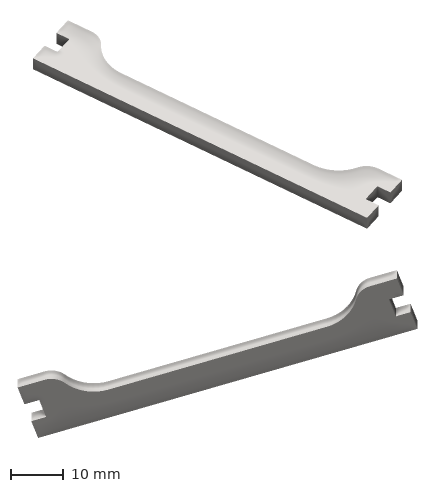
import cadquery as cq
import math

length = 76.0
end_width = 12.0
thickness = 3.0

waist_width = 6.0
end_flat = 5.4
crest_radius = 4.0
hollow_radius = 8.5

slot_width = 4.0
slot_depth = 3.0

shoulder_drop = end_width - waist_width
sweep = math.acos(1 - shoulder_drop / (crest_radius + hollow_radius))
half_length = length / 2
crest_x = half_length - end_flat
hollow_x = crest_x - (crest_radius + hollow_radius) * math.sin(sweep)
crest_center_y = end_width - crest_radius
hollow_center_y = waist_width + hollow_radius


def crest_point(angle):
    """Point on the right convex arc, turned from its top toward the middle."""
    return (
        crest_x - crest_radius * math.sin(angle),
        crest_center_y + crest_radius * math.cos(angle),
    )


def hollow_point(angle):
    """Point on the right concave arc, turned from its bottom toward the end."""
    return (
        hollow_x + hollow_radius * math.sin(angle),
        hollow_center_y - hollow_radius * math.cos(angle),
    )


def mirrored(point):
    return (-point[0], point[1])


def make_bar():
    joint = crest_point(sweep)
    crest_middle = crest_point(sweep / 2)
    hollow_middle = hollow_point(sweep / 2)
    return (
        cq.Workplane("XY")
        .moveTo(-half_length, 0)
        .lineTo(half_length, 0)
        .lineTo(half_length, end_width)
        .lineTo(crest_x, end_width)
        .threePointArc(crest_middle, joint)
        .threePointArc(hollow_middle, (hollow_x, waist_width))
        .lineTo(-hollow_x, waist_width)
        .threePointArc(mirrored(hollow_middle), mirrored(joint))
        .threePointArc(mirrored(crest_middle), (-crest_x, end_width))
        .lineTo(-half_length, end_width)
        .close()
        .extrude(thickness)
    )


def make_slot(side):
    slot_x = side * (half_length - slot_depth / 2)
    return (
        cq.Workplane("XY")
        .center(slot_x, end_width / 2)
        .rect(slot_depth, slot_width)
        .extrude(thickness)
    )


result = make_bar()
for side in (-1, 1):
    result = result.cut(make_slot(side))